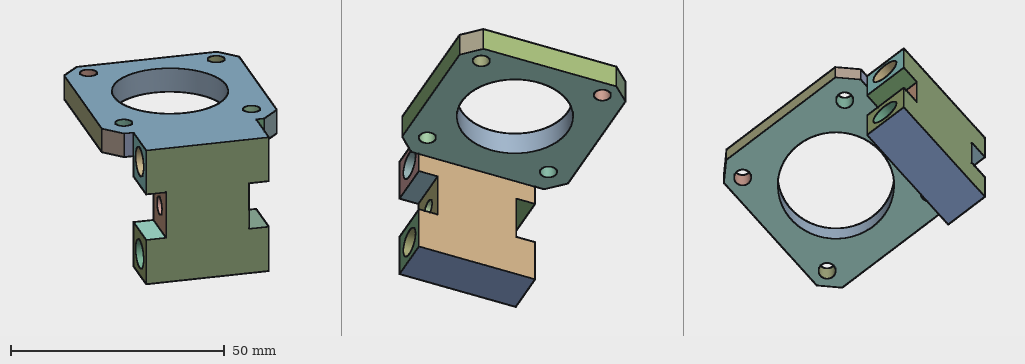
import cadquery as cq

length = 52.75
plate_width = 42.5
height = 34.0

plate_length = 41.55
plate_thickness = 6.0
corner_chamfer = 4.2
bore_diameter = 27.2
bore_from_left = 19.8
plate_offset_y = -0.15
screw_diameter = 4.0
screw_spacing = 31.0

block_width = 29.8
neck_width = 20.15
block_length = length - plate_length
upper_height = 11.2
lower_height = 11.3
rod_hole_diameter = 7.0
center_hole_diameter = 4.4
hole_from_right = 5.75
rod_hole_depth = 5.15
rod_hole_spacing = 23.45

left_x = -bore_from_left
right_x = left_x + length
block_x = left_x + plate_length + block_length / 2
hole_x = right_x - hole_from_right


def make_plate():
    """Chamfered plate with a large bore and four screw holes."""
    plate = (
        cq.Workplane("XY")
        .center(left_x + plate_length / 2, plate_offset_y)
        .rect(plate_length, plate_width)
        .extrude(-plate_thickness)
        .edges("|Z")
        .chamfer(corner_chamfer)
    )
    bore = cq.Workplane("XY").circle(bore_diameter / 2).extrude(-plate_thickness)
    screws = (
        cq.Workplane("XY")
        .rect(screw_spacing, screw_spacing, forConstruction=True)
        .vertices()
        .circle(screw_diameter / 2)
        .extrude(-plate_thickness)
    )
    return plate.cut(bore).cut(screws)


def block_section(width, top_depth, section_height):
    """One box of the block, centred on Y, starting top_depth below the top face."""
    return (
        cq.Workplane("XY", origin=(block_x, 0, -top_depth))
        .rect(block_length, width)
        .extrude(-section_height)
    )


def hole_along_y(diameter, depth):
    """Cutter for a hole through the block, centred depth below the top face."""
    return (
        cq.Workplane("XZ", origin=(hole_x, 0, -depth))
        .circle(diameter / 2)
        .extrude(block_width, both=True)
    )


def make_block():
    """Block with a narrowed neck between two wide ends, and three cross holes."""
    neck_height = height - upper_height - lower_height
    block = (
        block_section(block_width, 0, upper_height)
        .union(block_section(neck_width, upper_height, neck_height))
        .union(block_section(block_width, height - lower_height, lower_height))
    )
    cross_holes = (
        (rod_hole_diameter, rod_hole_depth),
        (center_hole_diameter, rod_hole_depth + rod_hole_spacing / 2),
        (rod_hole_diameter, rod_hole_depth + rod_hole_spacing),
    )
    for diameter, depth in cross_holes:
        block = block.cut(hole_along_y(diameter, depth))
    return block


result = make_plate().union(make_block())